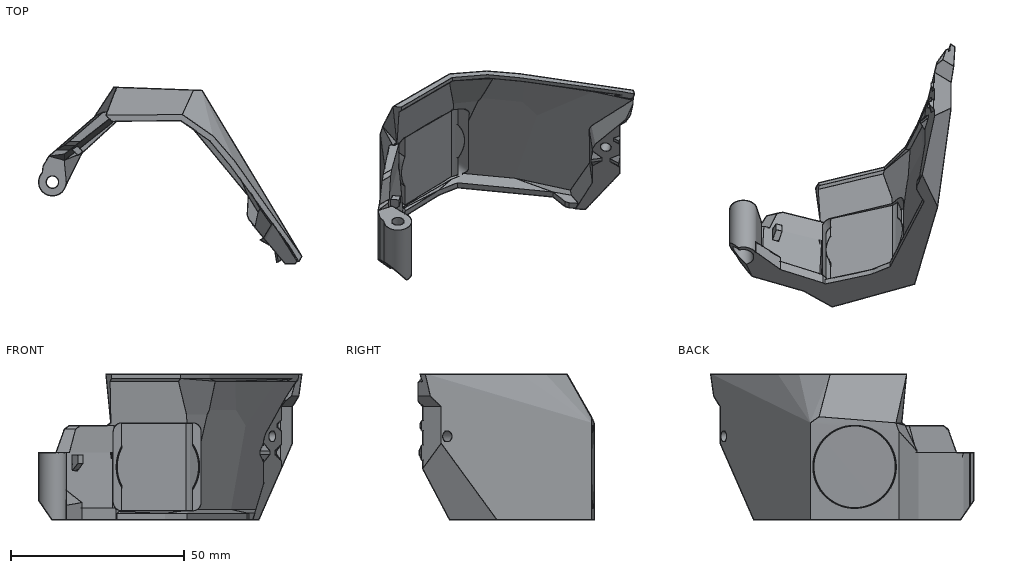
import cadquery as cq
import math


HEIGHT = 42.06
RIM_Z = 40.8
CAVITY_TOP = 40.0
SHOULDER_Z = 28.0
LEDGE_Z = 3.0
LIP_Z = 1.9
FAR = 40.0

HINGE_RADIUS = 4.0
HINGE_TOP = 19.4
HINGE_HOLE = 3.5
HINGE_BORE = 6.0
HINGE_BORE_DEPTH = 8.0
HINGE_CUT_Z = 5.6
HINGE_CUT_X = -0.14
WING_TOP = 27.2
WING_LIP_TOP = 3.4
WING_END_Y = 9.2
WING_LEAN = 0.104
WING_OUTER_SLOPE = 0.864
WING_INNER_SLOPE = 0.785
WING_FLARE = 2.2
WING_CORNER = (-1.0, 7.5)
WING_ANCHOR = (17.0, 23.0)
LINK_INSIDE = (3.4, 6.3)
LIP_START = (8.5, 8.3)
HOOK_TOP = 18.7
HOOK_TIP_BOTTOM = 16.3
HOOK_BOTTOM = 14.1

WINDOW_X = 30.25
WINDOW_Z = 15.3
WINDOW_SIZE = 25.4
WINDOW_CORNER = 2.5
WINDOW_FLOOR_Y = 22.5
WINDOW_DEPTH = 8.0
DISC_HOLE = 24.0
DISC = 23.6
DISC_X = 30.45
PLATE_WIDTH = 20.5
PLATE_HEIGHT = 25.1

BOSS_END_Y = -23.6
BOSS_START_Y = -5.0
SCREW_HOLE = 3.1
SCREW_Y = -19.1
SCREW_Z = 24.1
BOSS_NORMAL = (0.768, 0.64)
BOSS_OFFSET = 36.5
WALL_NORMAL = (0.857, 0.515)
WALL_SURFACE = 48.8
WALL_BURIED = 49.6
RIDGE_TIP = 0.5
RIDGE_ROOT = 0.5
RIDGES = [(-16.1, -18.3, 19.4, 2.8, 1.2), (-22.4, -20.0, 19.4, 2.5, 1.7), (-22.4, -20.8, 27.2, 1.7, 1.2)]

TOUCHING = 1e-6
SMALLEST_CROSS = 1e-3


def subtract(a, b):
    return tuple(p - q for p, q in zip(a, b))


def cross(a, b):
    return (a[1] * b[2] - a[2] * b[1], a[2] * b[0] - a[0] * b[2], a[0] * b[1] - a[1] * b[0])


def dot(a, b):
    return sum(p * q for p, q in zip(a, b))


def hull(points):
    """Convex solid spanned by the given corner points."""
    sides = {}
    for i, j, k in triples(len(points)):
        normal = cross(subtract(points[j], points[i]), subtract(points[k], points[i]))
        size = math.sqrt(dot(normal, normal))
        if size < SMALLEST_CROSS:
            continue
        normal = tuple(c / size for c in normal)
        heights = [dot(normal, subtract(p, points[i])) for p in points]
        if max(heights) > TOUCHING and min(heights) < -TOUCHING:
            continue
        on_side = frozenset(n for n, h in enumerate(heights) if abs(h) <= TOUCHING)
        sides[on_side] = normal
    faces = [hull_face([points[n] for n in side], normal) for side, normal in sides.items()]
    return cq.Workplane(cq.Solid.makeSolid(cq.Shell.makeShell(faces)).fix())


def triples(count):
    return [(i, j, k) for i in range(count) for j in range(i + 1, count) for k in range(j + 1, count)]


def hull_face(corners, normal):
    """Flat convex face around coplanar points; points inside its outline are left out."""
    across = subtract(corners[1], corners[0])
    upward = cross(normal, across)
    flat = sorted((dot(across, p), dot(upward, p), p) for p in corners)
    ring = half_outline(flat) + half_outline(flat[::-1])
    return cq.Face.makeFromWires(cq.Wire.makePolygon([cq.Vector(*p) for _, _, p in ring], close=True))


def half_outline(flat):
    """One side of the convex outline of sorted flat points, without its last point."""
    chain = []
    for point in flat:
        while len(chain) > 1 and turn(chain[-2], chain[-1], point) < SMALLEST_CROSS:
            chain.pop()
        chain.append(point)
    return chain[:-1]


def turn(a, b, c):
    return (b[0] - a[0]) * (c[1] - a[1]) - (b[1] - a[1]) * (c[0] - a[0])


def at(plan, z):
    """Raise plan points to the height z."""
    return [(x, y, z) for x, y in plan]


def prism(plan, bottom, top):
    return cq.Workplane("XY").workplane(offset=bottom).polyline(plan).close().extrude(top - bottom)


def on_plane(normal, offset, y, z):
    """Point of the upright plane normal . (x, y) = offset that has this y and z."""
    return ((offset - normal[1] * y) / normal[0], y, z)


WING_ROOT = (12.0, 18.7)
RIGHT_END = (75.0, -26.4)
CLOSING = (60.0, -30.0)
RIM_OUTSIDE = [(15.4, 19.3), (37.5, 19.5), (46.4, 13.3), (52.6, 6.1), (71.8, -21.1)]
BACK_RIGHT = (43.2, 26.5)
SHOULDER = [(16.8, 19.3), (18.5, 27.3), BACK_RIGHT, RIGHT_END, CLOSING]
SKIRT = [WING_ROOT, (17.7, 27.4), (20.2, 27.35), BACK_RIGHT, RIGHT_END, CLOSING]


def back_slope(x, y):
    """Point of the sloping back, spanned by the straight rim and the left shoulder corner."""
    (left_x, left_y), (right_x, right_y) = RIM_OUTSIDE[:2]

    def depth(px, py):
        return py - left_y - (px - left_x) * (right_y - left_y) / (right_x - left_x)

    drop = (HEIGHT - SHOULDER_Z) / depth(*SHOULDER[1])
    return (x, y, HEIGHT - drop * depth(x, y))


def outer_form():
    skirt = hull(
        at(SKIRT, 0)
        + [(*WING_ROOT, HINGE_TOP), (15.6, 19.6, WING_TOP), (17.7, 27.4, 25.6)]
        + at(SHOULDER, SHOULDER_Z)
    )
    crown = hull(
        at(SHOULDER, SHOULDER_Z)
        + [back_slope(40.7, 26.5)]
        + at(RIM_OUTSIDE + [RIGHT_END, CLOSING], HEIGHT)
    )
    return skirt.union(crown)


OPEN_SIDE = [(80.0, -37.5), (0.0, -FAR)]
RIM_INSIDE = [(5.0, 17.38), (37.0, 17.7), (45.4, 11.9), (51.3, 4.8), (69.2, -19.8)]
LIP_INSIDE = [
    (5.0, 17.0), (19.5, 18.0), (32.5, 18.6), (38.8, 17.5), (56.5, -4.0), (56.2, -9.5), (56.7, -10.8),
]

HOLLOW_WALLS = [
    [(12.0, 19.3, 0.0), (12.0, 19.3, 10.0), (38.6, 19.57, 0.0)],
    [(16.6, 18.1, 40.0), (36.4, 18.3, 40.0), (38.7, 19.2, 30.4)],
    [(36.4, 18.3, 40.0), (38.7, 19.2, 30.4), (44.4, 15.5, 30.4)],
    [(38.7, 19.2, 30.4), (44.4, 15.5, 30.4), (43.3, 16.9, 25.0)],
    [(45.2, 14.7, 31.7), (52.6, 5.8, 31.7), (45.2, 14.7, 3.0)],
    [(47.6, 10.7, 40.0), (45.2, 14.7, 31.7), (52.6, 5.8, 31.7)],
    [(52.6, 5.9, 31.7), (55.9, 1.8, 27.3), (64.7, -12.5, 40.0)],
    [(55.9, 1.8, 27.3), (64.7, -12.5, 40.0), (51.9, 6.5, 3.0)],
]
HOLLOW_MIDDLE = (30.0, -10.0, 20.0)


def beyond(wall, middle):
    """Everything on the far side of the plane through three points, seen from the middle point."""
    start = wall[0]
    normal = cross(subtract(wall[1], start), subtract(wall[2], start))
    if dot(normal, subtract(middle, start)) > 0:
        normal = tuple(-c for c in normal)
    return cq.Workplane(cq.Plane(start, normal=normal)).rect(8 * FAR, 8 * FAR).extrude(4 * FAR)


def corners_of(face):
    return [v.toTuple() for v in face.vertices().vals()]


def hollow():
    room = prism([(0, -FAR), (0, FAR), (85, FAR), (85, -FAR)], LEDGE_Z, CAVITY_TOP)
    for wall in HOLLOW_WALLS:
        room = room.cut(beyond(wall, HOLLOW_MIDDLE))
    ledge = hull(corners_of(room.faces("<Z")) + at(LIP_INSIDE, LIP_Z))
    rim_chamfer = hull(corners_of(room.faces(">Z")) + at(RIM_INSIDE, RIM_Z))
    rim = prism(RIM_INSIDE + OPEN_SIDE, CAVITY_TOP, HEIGHT)
    lip = prism(LIP_INSIDE + OPEN_SIDE, 0, LEDGE_Z)
    return room.union(ledge).union(rim_chamfer).union(rim).union(lip)


def wing_outside(y, z):
    """Point of the outer face of the wing tip, which leans inward going up."""
    return (1.0 + (y - WING_END_Y + WING_LEAN * (z - HINGE_TOP)) / WING_OUTER_SLOPE, y, z)


def wing_inside(y, z):
    """Point of the upright inner face of the wing tip."""
    return (4.9 + (y - WING_END_Y) / WING_INNER_SLOPE, y, z)


def wing():
    ends = [(WING_END_Y, HINGE_TOP), (10.6, 26.2), (11.7, WING_TOP)]
    upper = hull(
        [wing_outside(y, z) for y, z in ends + [(19.2, HINGE_TOP), (20.2, WING_TOP)]]
        + [wing_inside(y, z) for y, z in ends + [(20.2, HINGE_TOP), (20.2, WING_TOP)]]
    )
    inner_top = [wing_inside(y, HINGE_TOP)[:2] for y in (8.1, 19.0)]
    inner_foot = [(x, y - WING_FLARE) for x, y in inner_top]
    outer = [WING_CORNER, WING_ROOT, WING_ANCHOR]
    lower = hull(at(outer + inner_top, HINGE_TOP) + at(outer + inner_foot, 0))
    lip = prism([LINK_INSIDE, LIP_START, (18.4, 17.4), (19.5, 19.5), WING_ROOT], 0, WING_LIP_TOP)
    root = prism([WING_ROOT, (14.85, 23.05), WING_ANCHOR, (17.0, 18.5)], 0, HINGE_TOP)
    return upper.union(lower).union(root).union(lip)


def hinge():
    barrel = cq.Workplane("XY").circle(HINGE_RADIUS).extrude(HINGE_TOP)
    outside = [(-3.0, 2.4), (-2.7, 4.7), WING_CORNER]
    link = prism(outside + [LINK_INSIDE, (HINGE_RADIUS, 0), (0, 0)], 0, HINGE_TOP)
    web = hull([
        (HINGE_RADIUS, -0.8, 0), (*LIP_START, 0), (*LINK_INSIDE, 0),
        (HINGE_RADIUS, -0.8, 4.2), (*LIP_START, 5.0), (*LINK_INSIDE, 9.0),
    ])
    return barrel.union(link).union(web)


def hinge_openings():
    hole = cq.Workplane("XY").circle(HINGE_HOLE / 2).extrude(HINGE_TOP)
    bore = cq.Workplane("XY").circle(HINGE_BORE / 2).extrude(HINGE_BORE_DEPTH)
    foot = (
        cq.Workplane("XZ")
        .polyline([(-HINGE_RADIUS, HINGE_CUT_Z), (HINGE_CUT_X, 0), (-HINGE_RADIUS, 0)])
        .close()
        .extrude(FAR, both=True)
    )
    return hole.union(bore).union(foot)


def wing_hook():
    plan = [(5.6, 9.4), (7.2, 10.4), (8.8, 8.8), (7.4, 7.7)]
    root, tip = plan[:2], plan[2:]
    return hull(at(plan, HOOK_TOP) + at(tip, HOOK_TIP_BOTTOM) + at(root, HOOK_BOTTOM))


def boss_face(y, z):
    return on_plane(BOSS_NORMAL, BOSS_OFFSET, y, z)


def boss_root(y, z):
    return on_plane(WALL_NORMAL, WALL_SURFACE, y, z)


BOSS_MIDDLE = (65.0, -20.0, 15.0)
BOSS_TOP = [boss_root(-12.0, 27.9), boss_face(-16.8, 24.9), boss_face(-22.2, 33.0)]
BOSS_BEVEL = [boss_root(-12.0, 27.9), boss_face(-16.8, 24.9), boss_face(-16.2, 23.2)]
BOSS_SIDE = [boss_root(-11.4, 26.1), boss_root(-11.4, 15.3), boss_face(-16.1, 16.7)]
BOSS_FOOT = [boss_root(-11.4, 15.3), boss_root(-5.7, LEDGE_Z), boss_face(-16.0, 10.1)]


def boss():
    start, end = BOSS_START_Y, BOSS_END_Y
    block = prism(
        [
            on_plane(BOSS_NORMAL, BOSS_OFFSET, start, 0)[:2],
            on_plane(BOSS_NORMAL, BOSS_OFFSET, end, 0)[:2],
            on_plane(WALL_NORMAL, WALL_BURIED, end, 0)[:2],
            on_plane(WALL_NORMAL, WALL_BURIED, start, 0)[:2],
        ],
        0, HEIGHT,
    )
    for plane in (BOSS_TOP, BOSS_BEVEL):
        block = block.cut(beyond(plane, BOSS_MIDDLE))
    upright = block.cut(beyond(BOSS_SIDE, BOSS_MIDDLE))
    foot = block.cut(beyond(BOSS_FOOT, BOSS_MIDDLE))
    return upright.union(foot)


def ridge(edge_y, inner_y, z, half_height, reach):
    """Pointed ridge on the boss face, highest at edge_y and running out at inner_y."""
    edge_x = boss_face(edge_y, z)[0]
    inner_x = boss_face(inner_y, z)[0]

    def raised(x, y, height, level):
        return (x - height * WALL_NORMAL[0], y - height * WALL_NORMAL[1], level)

    corners = []
    for side in (-1, 1):
        blunt = z + side * RIDGE_TIP
        corners.append(raised(edge_x, edge_y, reach, blunt))
        for height in (0, -RIDGE_ROOT):
            corners.append(raised(edge_x, edge_y, height, z + side * half_height))
            corners.append(raised(inner_x, inner_y, height, blunt))
    return hull(corners)


def screw_hole():
    x, y, z = boss_face(SCREW_Y, SCREW_Z)
    axis = cq.Vector(*BOSS_NORMAL, 0)
    start = cq.Vector(x, y, z) - axis * RIDGE_ROOT
    return cq.Workplane(cq.Solid.makeCylinder(SCREW_HOLE / 2, FAR, start, axis))


FOOT_END_X = 59.6
END_CORNER = (69.25, 22.0)
END_REACH = 110.0
END_PROFILE = [(68.1, 0), (68.1, 32.7), (71.3, 35.7), (72.8, HEIGHT)]


def right_end_cuts():
    foot = (
        cq.Workplane("XZ")
        .polyline([(FOOT_END_X, 0), END_CORNER, (END_REACH, END_CORNER[1]), (END_REACH, 0)])
        .close()
        .extrude(FAR, both=True)
    )
    across, along = WALL_NORMAL
    end_plane = cq.Plane((0, 0, 0), xDir=(across, -along, 0), normal=(-along, -across, 0))
    end = (
        cq.Workplane(end_plane)
        .polyline(END_PROFILE + [(END_REACH, HEIGHT), (END_REACH, 0)])
        .close()
        .extrude(2 * FAR, both=True)
    )
    return foot.union(end)


def window():
    recess = (
        cq.Workplane("XZ", origin=(WINDOW_X, WINDOW_FLOOR_Y, WINDOW_Z))
        .rect(WINDOW_SIZE, WINDOW_SIZE)
        .extrude(WINDOW_DEPTH)
        .edges("|Y")
        .fillet(WINDOW_CORNER)
    )
    hole = (
        cq.Workplane("XZ", origin=(DISC_X, WINDOW_FLOOR_Y - WINDOW_DEPTH, WINDOW_Z))
        .circle(DISC_HOLE / 2)
        .extrude(-FAR)
    )
    return recess.union(hole)


def make_insert():
    """Plate lying in the recess with a disc reaching through the hole to the outer face."""
    face = [(18.0, 19.22), (38.6, 20.0), (39.8, 19.6), (43.0, 17.94)]
    front = prism(face + [(43.0, FAR), (18.0, FAR)], 0, HEIGHT)
    disc = cq.Workplane("XZ", origin=(DISC_X, 0, WINDOW_Z)).circle(DISC / 2).extrude(-FAR)
    plate = (
        cq.Workplane("XZ", origin=(WINDOW_X, WINDOW_FLOOR_Y, WINDOW_Z))
        .rect(PLATE_WIDTH, PLATE_HEIGHT)
        .extrude(WINDOW_FLOOR_Y)
    )
    return disc.union(plate).intersect(front).intersect(outer_form())


def make_guard():
    """Faceted wall with its wing, hinge, boss and window."""
    body = outer_form().cut(hollow())
    body = body.union(boss())
    for sizes in RIDGES:
        body = body.union(ridge(*sizes))
    body = body.cut(right_end_cuts()).cut(screw_hole())
    body = body.union(wing()).union(hinge()).cut(hinge_openings())
    body = body.union(wing_hook())
    return body.cut(window())


guard = make_guard()
insert = make_insert()

result = cq.Compound.makeCompound([guard.val(), insert.val()])